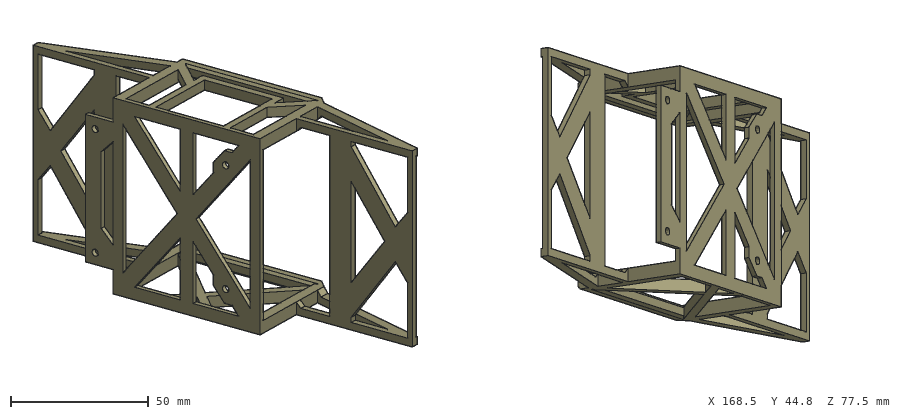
import cadquery as cq

LENGTH = 168.5
DEPTH = 44.8
HEIGHT = 77.5

half_length = LENGTH / 2
half_height = HEIGHT / 2

box_half = 32.7
frame_height = 5.0
side_width = 4.4
front_thickness = 2.0
rail_depth = 4.9
rail_chamfer = 1.0
corner_cut = 4.5
arm_inner = box_half - side_width
frame_inner_z = half_height - frame_height
rail_front = DEPTH - rail_depth
frame_back = DEPTH - rail_chamfer

top_web_height = 4.0
bottom_web_height = 4.5
strut_drop = 5.0
strut_x = 29.5
strut_y = 41.0
top_strut_slope = 0.94
bottom_strut_slope = 0.99
ring_half = 18.0
ring_back = 35.5
ring_width = 3.0

brace_x = 23.1
mullion_half = 2.9
mullion_z = 9.3
side_window_z = 29.3
side_window_tip = 4.2
hole_diameter = 2.7
hole_z = 24.5
pad_hole_x = 17.4
lug_hole_x = -40.6
pad_left = 11.8
pad_right = 20.2
pad_bottom = 20.2
pad_top = 30.2
pad_cut_x = 5.0
pad_cut_z = 5.9
lug_left = -45.0
lug_half_height = 29.2
lug_slot_left = -37.9
lug_slot_top = 16.2
lug_slot_bottom = -14.2

panel_front = 22.7
panel_thickness = 2.5
panel_back = panel_front + panel_thickness
wing_edge = 3.0
wing_end = 2.2
post_inner = 47.5
post_outer = 57.1
brace_start_z = 33.7
brace_lower_z = 19.9
brace_tip = 72.0
notch_x = 76.7
notch_z = 6.9
notch_end_z = 13.8
tip_back = 26.0
arm_back = 40.3
arm_drop = 4.2
flare = 2.0
wing_inner_z = half_height - wing_edge


def plan_prism(points, z_bottom, z_top):
    """Extrude an outline in X and Y between two heights."""
    return cq.Workplane("XY").workplane(offset=z_bottom).polyline(points).close().extrude(z_top - z_bottom)


def front_prism(points, y_front, y_back):
    """Extrude an outline in X and Z between two depths."""
    return cq.Workplane("XZ", origin=(0, y_front, 0)).polyline(points).close().extrude(y_front - y_back)


def box(x0, x1, y0, y1, z0, z1):
    """Make a block between two corners."""
    return cq.Workplane("XY").box(x1 - x0, y1 - y0, z1 - z0, centered=False).translate((x0, y0, z0))


def with_mirror(body, plane):
    """Join a body with its mirror image."""
    return body.union(body.mirror(plane))


def front_plate():
    """Braced front plate with hole pads on the right and a slotted lug on the left."""
    plate = box(-box_half, box_half, 0, front_thickness, -half_height, half_height)
    corner_window = front_prism(
        [(mullion_half, mullion_z), (mullion_half, frame_inner_z), (brace_x, frame_inner_z)],
        0, front_thickness,
    )
    side_window = front_prism(
        [(side_window_tip, 0), (arm_inner, side_window_z), (arm_inner, -side_window_z)],
        0, front_thickness,
    )
    plate = plate.cut(with_mirror(with_mirror(corner_window, "XY"), "YZ"))
    plate = plate.cut(with_mirror(side_window, "YZ"))

    pad = front_prism(
        [
            (pad_left, pad_bottom),
            (pad_left, pad_top - pad_cut_z),
            (pad_left + pad_cut_x, pad_top),
            (pad_right, pad_top),
            (pad_right, pad_bottom),
        ],
        0, front_thickness,
    )
    plate = plate.union(with_mirror(pad, "XY"))

    lug = box(lug_left, -box_half, 0, front_thickness, -lug_half_height, lug_half_height)
    slot_rise = -box_half - lug_slot_left
    slot = front_prism(
        [
            (lug_slot_left, lug_slot_bottom),
            (lug_slot_left, lug_slot_top),
            (-box_half, lug_slot_top + slot_rise),
            (-box_half, lug_slot_bottom - slot_rise),
        ],
        0, front_thickness,
    )
    plate = plate.union(lug.cut(slot))

    hole_places = [(x, z) for x in (lug_hole_x, pad_hole_x) for z in (-hole_z, hole_z)]
    holes = cq.Workplane("XZ").pushPoints(hole_places).circle(hole_diameter / 2).extrude(-front_thickness)
    return plate.cut(holes)


def strut(slope, x_end, z_bottom, z_top):
    """Diagonal bar that runs from the back left corner forward to x_end."""
    y_end = strut_y - slope * (x_end + strut_x)
    x_start = -box_half + side_width / 2
    y_start = strut_y - slope * (x_start + strut_x)
    outline = [
        (x_start, y_start),
        (x_end, y_end),
        (x_end, y_end - strut_drop),
        (x_start, y_start - strut_drop),
    ]
    return plan_prism(outline, z_bottom, z_top)


def frame_sides(z_bottom):
    """Side arms and back rail shared by the top and bottom frames."""
    z_top = z_bottom + frame_height
    notch = strut_x - arm_inner
    arm_outline = [
        (box_half, 0),
        (box_half, frame_back),
        (strut_x, frame_back),
        (strut_x, strut_y),
        (arm_inner, strut_y - notch),
        (arm_inner, 0),
    ]
    arms = with_mirror(plan_prism(arm_outline, z_bottom, z_top), "YZ")
    rail = box(-box_half, box_half, rail_front, DEPTH, z_bottom, z_top).edges("|X").chamfer(rail_chamfer)
    corner = [(box_half, DEPTH), (box_half, DEPTH - corner_cut), (box_half - corner_cut, DEPTH)]
    return arms.union(rail).cut(plan_prism(corner, z_bottom, z_top))


def top_frame():
    """Frame with a U-shaped ring and short struts that reach it from the back corners."""
    web_bottom = half_height - top_web_height
    ring = box(-ring_half, ring_half, 0, ring_back, web_bottom, half_height)
    opening_half = ring_half - ring_width
    ring = ring.cut(box(-opening_half, opening_half, 0, ring_back - ring_width, web_bottom, half_height))
    strut_end = -ring_half + ring_width / 2
    struts = with_mirror(strut(top_strut_slope, strut_end, web_bottom, half_height), "YZ")
    return frame_sides(frame_inner_z).union(ring).union(struts)


def bottom_frame():
    """Frame with two full struts that cross and run into the front plate."""
    web_top = -half_height + bottom_web_height
    struts = with_mirror(strut(bottom_strut_slope, box_half / 2, -half_height, web_top), "YZ")
    room = box(-box_half, box_half, front_thickness / 2, DEPTH, -half_height, web_top)
    return frame_sides(-half_height).union(struts.intersect(room))


def wing_panel():
    """Braced panel of the right wing."""
    panel = box(box_half, half_length, panel_front, panel_back, -half_height, half_height)
    end_x = half_length - wing_end
    corner_window = front_prism(
        [
            (post_outer, brace_start_z),
            (post_outer, wing_inner_z),
            (end_x, wing_inner_z),
            (end_x, notch_end_z),
            (notch_x, notch_z),
        ],
        panel_front, panel_back,
    )
    middle_window = front_prism(
        [(post_outer, -brace_lower_z), (post_outer, brace_lower_z), (brace_tip, 0)],
        panel_front, panel_back,
    )
    inner_window = box(box_half, post_inner, panel_front, panel_back, -wing_inner_z, wing_inner_z)
    panel = panel.cut(with_mirror(corner_window, "XY"))
    return panel.cut(middle_window).cut(inner_window)


def wing_arms():
    """Upper straight and sloped arms of the right wing, flared where they meet the box."""
    sloped = [
        (half_length, tip_back),
        (box_half, arm_back),
        (box_half, arm_back - arm_drop),
        (half_length, tip_back - arm_drop),
    ]
    behind_panel = box(box_half, half_length, panel_front, DEPTH, frame_inner_z, half_height)
    arm = plan_prism(sloped, frame_inner_z, half_height).intersect(behind_panel)
    arm = arm.union(box(box_half, half_length, panel_front, panel_back, frame_inner_z, half_height))
    side_profile = front_prism(
        [
            (box_half, half_height),
            (half_length, half_height),
            (half_length, wing_inner_z),
            (box_half + flare, wing_inner_z),
            (box_half, wing_inner_z - flare),
        ],
        panel_front, DEPTH,
    )
    return arm.intersect(side_profile)


wing = wing_panel().union(with_mirror(wing_arms(), "XY"))
result = front_plate().union(top_frame()).union(bottom_frame()).union(with_mirror(wing, "YZ"))